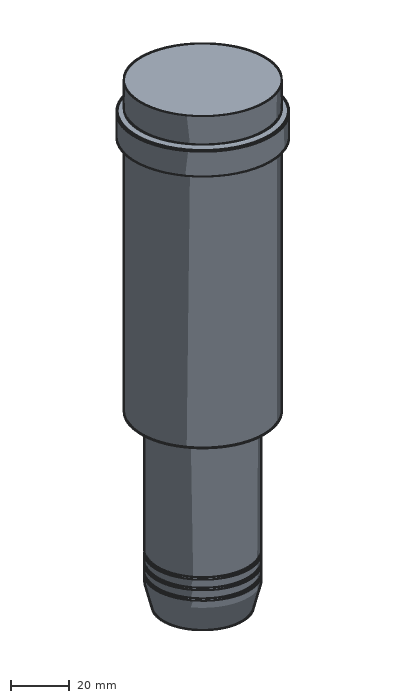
import cadquery as cq
import math

total_height = 203.0
body_bottom = 75.0
flange_bottom = 181.0
flange_thickness = 10.0
flange_top = flange_bottom + flange_thickness

flange_radius = 59.0 / 2
body_radius = 54.0 / 2
shank_radius = 40.0 / 2

flange_chamfer = 0.5
body_chamfer = 0.6
tip_chamfer = 0.5

tip_height = 10.2
tip_half_angle = 15.0
tip_radius = shank_radius - tip_height * math.tan(math.radians(tip_half_angle))

relief_radius = 0.5

groove_count = 3
groove_radius = 0.45
groove_pitch = 4.0
first_groove_height = 13.4


def cylinder(radius, bottom, top):
    """Solid cylinder on the Z axis between two heights."""
    return cq.Workplane("XY").workplane(offset=bottom).circle(radius).extrude(top - bottom)


def ring(major_radius, minor_radius, height):
    """Torus around the Z axis, used to cut a half-round groove."""
    return cq.Workplane(cq.Solid.makeTorus(major_radius, minor_radius, cq.Vector(0, 0, height)))


def make_shank():
    """Shank with a chamfered conical tip and half-round ring grooves."""
    tip = (
        cq.Workplane("XY")
        .circle(tip_radius)
        .workplane(offset=tip_height)
        .circle(shank_radius)
        .loft(ruled=True)
        .faces("<Z")
        .chamfer(tip_chamfer)
    )
    shank = cylinder(shank_radius, tip_height, body_bottom).union(tip)
    for index in range(groove_count):
        height = first_groove_height + index * groove_pitch
        shank = shank.cut(ring(shank_radius, groove_radius, height))
    return shank


def make_body():
    """Main cylinder with a chamfered lower edge and a relief groove on each side of the flange."""
    body = cylinder(body_radius, body_bottom, total_height).faces("<Z").chamfer(body_chamfer)
    for height in (flange_bottom - relief_radius, flange_top + relief_radius):
        body = body.cut(ring(body_radius, relief_radius, height))
    return body


def make_flange():
    """Collar near the top with a chamfered upper edge."""
    return cylinder(flange_radius, flange_bottom, flange_top).faces(">Z").chamfer(flange_chamfer)


result = make_shank().union(make_body()).union(make_flange())